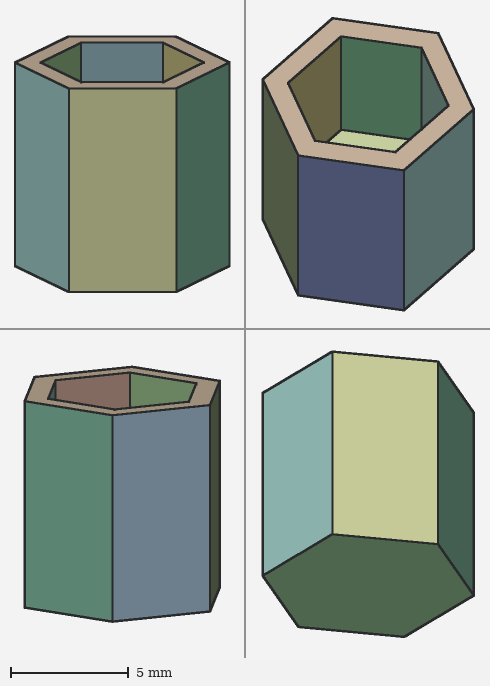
import cadquery as cq
import math

OUTER_ACROSS_FLATS = 7.9
SOCKET_ACROSS_FLATS = 6.0
HEIGHT = 9.0
SOCKET_DEPTH = 6.0
HEX_SIDES = 6


def hex_prism(across_flats, z_bottom, z_top):
    """Upright hexagonal prism centred on the Z axis."""
    across_corners = across_flats / math.cos(math.pi / HEX_SIDES)
    return (
        cq.Workplane("XY")
        .workplane(offset=z_bottom)
        .polygon(HEX_SIDES, across_corners)
        .extrude(z_top - z_bottom)
    )


body = hex_prism(OUTER_ACROSS_FLATS, 0, HEIGHT)
socket = hex_prism(SOCKET_ACROSS_FLATS, HEIGHT - SOCKET_DEPTH, HEIGHT)

result = body.cut(socket)